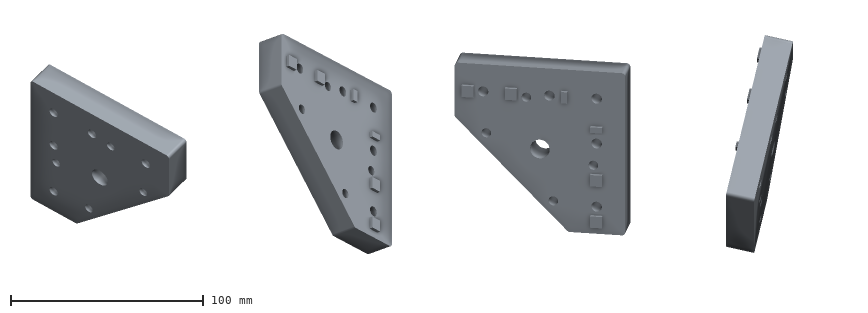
import cadquery as cq

side = 90.0
thickness = 15.0
short_edge = 30.0
corner_radius = 1.8

row_offset = 15.0
screw_diameter = 5.5
screw_places = [(40.0, row_offset), (75.0, row_offset)]
pin_diameter = 5.0
pin_places = [(52.1, 16.7), (73.3, 37.9)]
center_diameter = 10.35

key_height = 2.0
key_width = 6.3
keys = [(31.95, 3.15), (60.0, key_width), (83.0, key_width)]


def mirrored(places):
    """Places from the left and top edges, together with their mirror images."""
    return places + [(b, a) for a, b in places]


def drill(body, places, diameter):
    """Drill through the plate at places measured from the left and top edges."""
    for from_left, from_top in places:
        cutter = (
            cq.Workplane("XZ")
            .center(from_left, side - from_top)
            .circle(diameter / 2)
            .extrude(-thickness)
        )
        body = body.cut(cutter)
    return body


def key(from_left, from_top, length_x, length_z):
    """A key standing on the back face."""
    return (
        cq.Workplane("XZ", origin=(0, thickness, 0))
        .center(from_left, side - from_top)
        .rect(length_x, length_z)
        .extrude(-key_height)
    )


plate = (
    cq.Workplane("XZ")
    .moveTo(0, 0)
    .lineTo(short_edge, 0)
    .lineTo(side, side - short_edge)
    .lineTo(side, side)
    .lineTo(0, side)
    .close()
    .extrude(-thickness)
    .edges("|Y")
    .fillet(corner_radius)
)

plate = drill(plate, [(row_offset, row_offset)] + mirrored(screw_places), screw_diameter)
plate = drill(plate, mirrored(pin_places), pin_diameter)
plate = drill(plate, [(side / 2, side / 2)], center_diameter)

for distance, length in keys:
    plate = plate.union(key(distance, row_offset, length, key_width))
    plate = plate.union(key(row_offset, distance, key_width, length))

result = plate